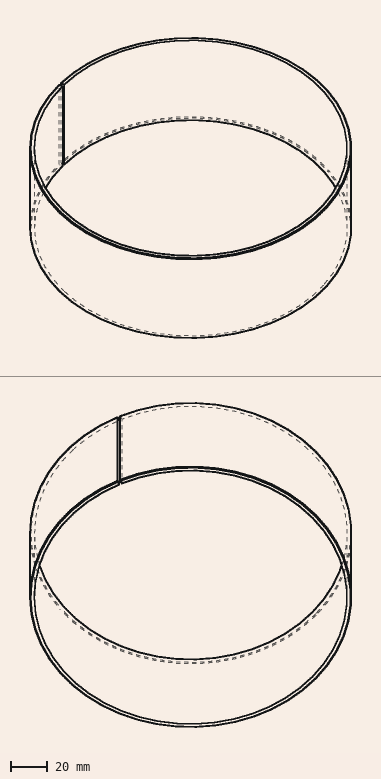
import cadquery as cq

outer_diameter = 175.0
height = 60.0
wall = 2.5
rim_chamfer = 0.5
gap_angle = 1.0

outer_radius = outer_diameter / 2


def make_wall_section():
    """Wall cross-section at the -X side, swept later; its two outer corners are bevelled."""
    section = cq.Sketch().rect(wall, height).vertices("<X").chamfer(rim_chamfer)
    mid_radius = outer_radius - wall / 2
    return cq.Workplane("XZ").center(-mid_radius, height / 2).placeSketch(section)


def make_split_ring():
    """Sweep the wall counter-clockwise from the -X axis, stopping short of a full turn."""
    axis_start = (outer_radius - wall / 2, 0)
    axis_end = (outer_radius - wall / 2, 1)
    return make_wall_section().revolve(360 - gap_angle, axis_start, axis_end)


result = make_split_ring()